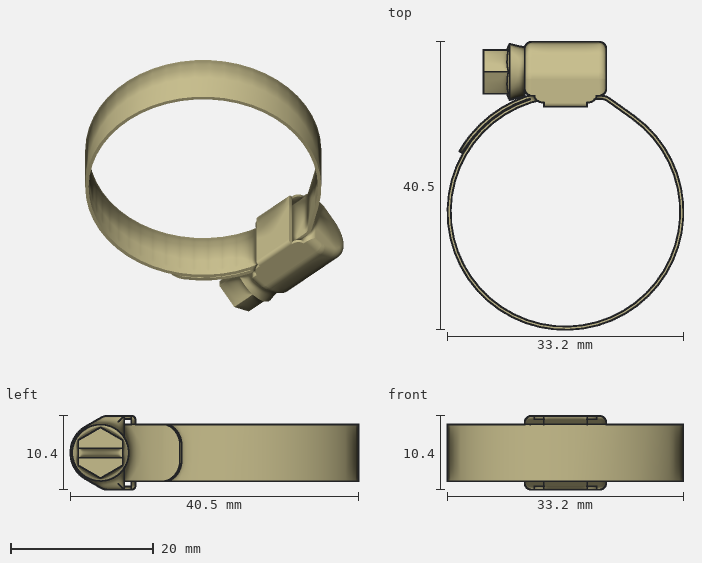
import cadquery as cq
import math


overall_length = 40.45

ring_diameter = 33.15
band_width = 8.0
band_thickness = 0.5
layer_gap = 0.1
tail_angle = -60.3
tail_corner_radius = 2.95
ramp_angle = 35.5
bend_radius = 1.6

housing_length = 11.5
housing_width = 10.4
housing_floor = 16.3
roof_radius = 4.25
roof_slope = 30.0
shoulder_radius = 1.95
end_fillet = 1.0
tongue_half_length = 4.4
tongue_thickness = 0.5
tongue_corner_radius = 1.2
bridge_top = 15.35
bridge_length = 6.05
bridge_thickness = 0.6
bridge_corner_radius = 0.55

hex_across_flats = 6.2
hex_length = 3.7
slot_width = 1.35
slot_depth = 2.2
flange_radius = 3.95
flange_back_radius = 3.48
flange_waist_radius = 3.7
flange_length = 2.1
flange_crown = 1.65

ring_radius = ring_diameter / 2
housing_top = overall_length - ring_radius
screw_y = housing_top - roof_radius
ring_center_radius = ring_radius - band_thickness / 2
outer_layer_radius = ring_center_radius + band_thickness + layer_gap
outer_layer_y = housing_floor - band_thickness / 2


def polar(radius, angle, center=(0.0, 0.0)):
    """Point at an angle in degrees from +Y towards +X."""
    a = math.radians(angle)
    return (center[0] + radius * math.sin(a), center[1] + radius * math.cos(a))


def make_band():
    """One strip: free tail, outer layer, flat run, ramp, then the ring coming back under the flat run."""
    bend_y = outer_layer_y - bend_radius
    left_x = -math.sqrt((outer_layer_radius - bend_radius) ** 2 - bend_y ** 2)
    left_center = (left_x, bend_y)
    left_angle = math.degrees(math.atan2(left_x, bend_y))
    ramp = math.radians(ramp_angle)
    right_x = (ring_center_radius - bend_radius - bend_y * math.cos(ramp)) / math.sin(ramp)
    right_center = (right_x, bend_y)

    tail_end = polar(outer_layer_radius, tail_angle)
    path = (
        cq.Workplane("XY")
        .moveTo(*tail_end)
        .threePointArc(polar(outer_layer_radius, (tail_angle + left_angle) / 2),
                       polar(outer_layer_radius, left_angle))
        .threePointArc(polar(bend_radius, left_angle / 2, left_center),
                       polar(bend_radius, 0, left_center))
        .lineTo(right_x, outer_layer_y)
        .threePointArc(polar(bend_radius, ramp_angle / 2, right_center),
                       polar(bend_radius, ramp_angle, right_center))
        .lineTo(*polar(ring_center_radius, ramp_angle))
    )
    section = cq.Plane(
        origin=(*tail_end, 0),
        xDir=(*polar(1, tail_angle), 0),
        normal=(*polar(1, tail_angle + 90), 0),
    )
    lap = cq.Workplane(section).rect(band_thickness, band_width).sweep(path)
    tail_face = lap.faces(cq.selectors.NearestToPointSelector((*tail_end, 0)))
    lap = lap.newObject(tail_face.edges("not |Z").vals()).fillet(tail_corner_radius)

    inner_radius = ring_radius - band_thickness
    join_angle = -math.degrees(math.acos(housing_floor / ring_radius))
    ring = (
        cq.Workplane("XY", origin=(0, 0, -band_width / 2))
        .moveTo(*polar(ring_radius, ramp_angle))
        .threePointArc(polar(ring_radius, 180), polar(ring_radius, join_angle))
        .lineTo(*polar(inner_radius, join_angle))
        .threePointArc(polar(inner_radius, 180), polar(inner_radius, ramp_angle))
        .close()
        .extrude(band_width)
    )
    return lap.union(ring)


def make_housing():
    half_width = housing_width / 2
    slope = math.radians(roof_slope)
    roof_y = screw_y + roof_radius * math.sin(slope)
    roof_z = roof_radius * math.cos(slope)
    shoulder_y = screw_y + (roof_radius - half_width * math.cos(slope)) / math.sin(slope)

    body = (
        cq.Workplane("YZ", origin=(-housing_length / 2, 0, 0))
        .moveTo(housing_floor, -half_width)
        .lineTo(shoulder_y, -half_width)
        .lineTo(roof_y, -roof_z)
        .threePointArc((housing_top, 0), (roof_y, roof_z))
        .lineTo(shoulder_y, half_width)
        .lineTo(housing_floor, half_width)
        .close()
        .extrude(housing_length)
    )
    for side in (-1, 1):
        shoulder = cq.selectors.NearestToPointSelector((0, shoulder_y, side * half_width))
        body = body.edges(shoulder).fillet(shoulder_radius)
    body = body.faces("<X or >X").edges().fillet(end_fillet)

    for z in (-half_width, half_width - tongue_thickness):
        tongue = (
            cq.Workplane("XY", origin=(0, bridge_top + tongue_corner_radius, z))
            .rect(2 * tongue_half_length, 2 * tongue_corner_radius)
            .extrude(tongue_thickness)
            .edges("|Z and <Y")
            .fillet(tongue_corner_radius)
        )
        body = body.union(tongue)

    bridge = (
        cq.Workplane("XY")
        .box(bridge_length, bridge_thickness, housing_width)
        .translate((0, bridge_top - bridge_thickness / 2, 0))
        .edges("|X and <Y")
        .fillet(bridge_corner_radius)
    )
    return body.union(bridge)


def make_screw():
    flange_back = -housing_length / 2
    rim_front = flange_back - flange_length
    hex_front = rim_front - hex_length

    flange = (
        cq.Workplane("XY")
        .moveTo(rim_front - flange_crown, 0)
        .lineTo(rim_front, flange_radius)
        .threePointArc(((rim_front + flange_back) / 2, flange_waist_radius),
                       (flange_back, flange_back_radius))
        .lineTo(flange_back, 0)
        .close()
        .revolve(360, (0, 0, 0), (1, 0, 0))
        .translate((0, screw_y, 0))
    )
    hexagon = (
        cq.Workplane("YZ", origin=(hex_front, screw_y, 0))
        .transformed(rotate=(0, 0, 90))
        .polygon(6, hex_across_flats / math.cos(math.pi / 6))
        .extrude(hex_length)
    )
    slot = (
        cq.Workplane("XY", origin=(hex_front + slot_depth / 2, screw_y, 0))
        .box(slot_depth, 2 * flange_radius, slot_width)
    )
    return flange.union(hexagon).cut(slot)


band = make_band()
housing = make_housing()
screw = make_screw()

result = cq.Compound.makeCompound([body.solids().val() for body in (band, housing, screw)])